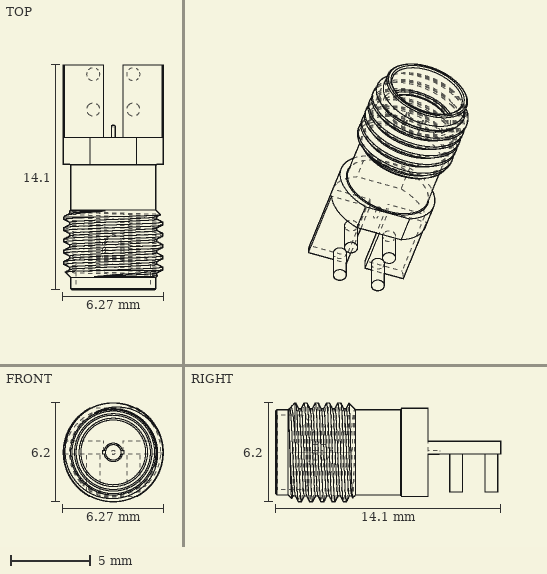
import cadquery as cq
import math


body_radius = 5.34 / 2
mouth_chamfer = 0.08

flange_front = 7.85
flange_back = 9.53
flange_radius = 6.27 / 2
flange_half_height = 2.77
shoulder_chamfer = 0.05

thread_front = 0.77
thread_back = 5.0
thread_radius = 6.2 / 2
root_radius = 2.73
thread_pitch = 0.7
root_width = 0.15
crest_width = 0.18
groove_phase = 0.28
groove_turns = 7
groove_overcut = 0.08

socket_radius = 4.65 / 2
socket_depth = 1.89
socket_mouth_chamfer = 0.1
recess_mouth_radius = 2.14
recess_radius = 4.05 / 2
recess_wall = 0.07

contact_radius = 0.97 / 2
contact_mouth_radius = 0.58
contact_depth = 1.13
contact_tip_angle = 118
slit_width = 0.21
slit_half_length = 0.66
slit_depth = 0.85

overall_length = 14.08
leg_inner_x = 0.6
leg_top = 0.7
leg_bottom = -0.11
post_radius = 0.82 / 2
post_x = 1.25
post_bottom = -2.49
post_positions_y = (11.28, 13.49)

pin_radius = 0.25 / 2
pin_end = 10.3
pin_tip_round = 0.11

recess_taper_end = socket_depth + recess_mouth_radius - recess_radius
floor_y = recess_taper_end + recess_wall
contact_bore_start = floor_y + contact_mouth_radius - contact_radius
contact_bore_end = floor_y + contact_depth
tip_length = contact_radius / math.tan(math.radians(contact_tip_angle / 2))


def turned(points):
    """Revolve a (radius, y) outline about the Y axis."""
    return cq.Workplane("XY").polyline(points).close().revolve(360, (0, 0, 0), (0, 1, 0))


def y_cylinder(radius, start, end):
    """Solid cylinder on the Y axis between two positions."""
    return cq.Workplane("XZ", origin=(0, start, 0)).circle(radius).extrude(start - end)


def make_barrel():
    return turned([
        (0, 0),
        (body_radius - mouth_chamfer, 0),
        (body_radius, mouth_chamfer),
        (body_radius, flange_front - shoulder_chamfer),
        (body_radius + shoulder_chamfer, flange_front),
        (0, flange_front),
    ])


def make_thread():
    """Collar with 45 degree ends, cut by one helical trapezoidal groove."""
    end_chamfer = thread_radius - body_radius
    collar = turned([
        (0, thread_front),
        (body_radius, thread_front),
        (thread_radius, thread_front + end_chamfer),
        (thread_radius, thread_back - end_chamfer),
        (body_radius, thread_back),
        (0, thread_back),
    ])

    flank_slope = (thread_pitch - crest_width - root_width) / 2 / (thread_radius - root_radius)
    outer_radius = thread_radius + groove_overcut
    root_half = root_width / 2
    outer_half = root_half + flank_slope * (outer_radius - root_radius)
    helix = cq.Wire.makeHelix(thread_pitch, thread_pitch, root_radius)
    groove_turn = (
        cq.Workplane("XZ")
        .polyline([
            (root_radius, -root_half),
            (outer_radius, -outer_half),
            (outer_radius, outer_half),
            (root_radius, root_half),
        ])
        .close()
        .sweep(cq.Workplane(helix), isFrenet=True)
        .rotate((0, 0, 0), (1, 0, 0), -90)
    )

    threaded = collar
    for turn in range(groove_turns):
        threaded = threaded.cut(groove_turn.translate((0, groove_phase + turn * thread_pitch, 0)))
    return threaded


def flange_disc(start, end):
    return y_cylinder(flange_radius, start, end)


def make_flange():
    length = flange_back - flange_front
    flats = cq.Workplane("XY").box(2 * flange_radius, length, 2 * flange_half_height)
    flats = flats.translate((0, flange_front + length / 2, 0))
    return flange_disc(flange_front, flange_back).intersect(flats)


def make_leg(side):
    """Leg on one side (+1 or -1), its outer edge following the flange radius."""
    leg_width = flange_radius - leg_inner_x
    slab = cq.Workplane("XY", origin=(0, 0, leg_bottom))
    slab = slab.center(side * (leg_inner_x + leg_width / 2), (flange_front + overall_length) / 2)
    slab = slab.rect(leg_width, overall_length - flange_front).extrude(leg_top - leg_bottom)
    leg = slab.intersect(flange_disc(flange_front, overall_length))
    posts = (
        cq.Workplane("XY", origin=(0, 0, post_bottom))
        .pushPoints([(side * post_x, y) for y in post_positions_y])
        .circle(post_radius)
        .extrude(leg_top - post_bottom)
    )
    return leg.union(posts)


def make_socket():
    """Void of the stepped socket and the contact bore behind it."""
    return turned([
        (0, 0),
        (socket_radius + socket_mouth_chamfer, 0),
        (socket_radius, socket_mouth_chamfer),
        (socket_radius, socket_depth),
        (recess_mouth_radius, socket_depth),
        (recess_radius, recess_taper_end),
        (recess_radius, floor_y),
        (contact_mouth_radius, floor_y),
        (contact_radius, contact_bore_start),
        (contact_radius, contact_bore_end),
        (0, contact_bore_end + tip_length),
    ])


def make_slit():
    slit = cq.Workplane("XY").box(2 * slit_half_length, slit_depth, slit_width)
    return slit.translate((0, floor_y + slit_depth / 2, 0))


rear_pin = y_cylinder(pin_radius, flange_front, pin_end).faces(">Y").fillet(pin_tip_round)

result = make_barrel().union(make_thread()).union(make_flange()).union(rear_pin)
for side in (-1, 1):
    result = result.union(make_leg(side))
result = result.cut(make_socket()).cut(make_slit())